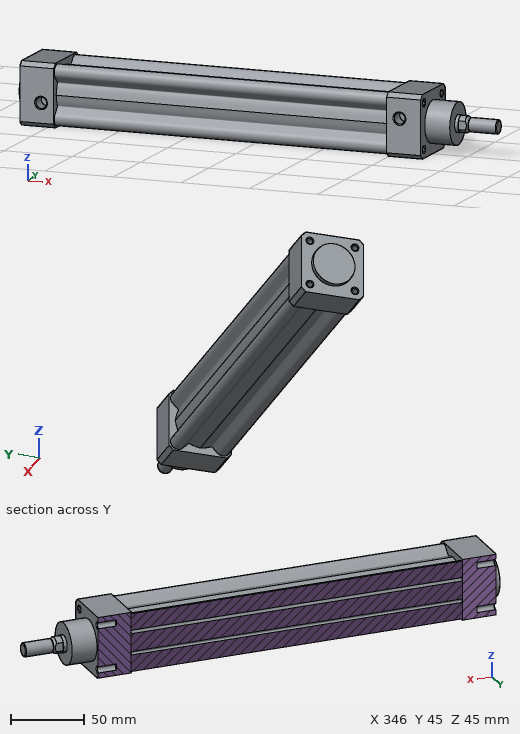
import cadquery as cq
import math

total_length = 346.0
cap_side = 45.0
cap_length = 25.0
cap_chamfer = 3.0

collar_diameter = 30.0
rear_collar_length = 3.5
front_collar_length = 18.5

lip_diameter = 12.5
lip_length = 2.5
lip_taper_length = 0.7
lip_tip_diameter = 12.0

bolt_offset = 16.3
bolt_hole_diameter = 4.0
bolt_hole_depth = 14.0
hole_chamfer = 0.7

port_diameter = 8.0
port_depth = 10.5
port_offset = 5.2
port_setback = 15.5

lobe_radius = 5.2
tube_radius = 17.5
ridge_half_width = 3.8
valley_fillet = 0.7

rod_diameter = 11.8
flat_distance = 10.0
flat_length = 6.5
thread_diameter = 10.0
thread_chamfer = 0.7
neck_diameter = 8.5
neck_length = 1.7
shoulder_to_end = 23.0

rear_face = rear_collar_length
barrel_start = rear_face + cap_length
front_face = 297.5
barrel_end = front_face - cap_length
front_collar_end = front_face + front_collar_length
lip_end = front_collar_end + lip_length
shoulder_start = total_length - shoulder_to_end
thread_start = shoulder_start + neck_length
flat_start = thread_start - flat_length


def x_cylinder(diameter, start, end):
    """Round bar on the cylinder axis from start to end."""
    return cq.Workplane("YZ", origin=(start, 0, 0)).circle(diameter / 2).extrude(end - start)


def chamfered_hole(diameter, depth, mouth, direction):
    """Cutting tool for a blind hole with a 45 degree chamfer at its mouth."""
    radius = diameter / 2
    bore = cq.Solid.makeCylinder(radius, depth, mouth, direction)
    countersink = cq.Solid.makeCone(radius + hole_chamfer, radius, hole_chamfer, mouth, direction)
    return cq.Workplane(bore.fuse(countersink))


def make_cap(start, outer_face, into_cap, port_height):
    """Chamfered square block with corner bolt holes and an air port; into_cap is +1 or -1 along X."""
    cap = (
        cq.Workplane("YZ", origin=(start, 0, 0))
        .rect(cap_side, cap_side)
        .extrude(cap_length)
        .edges("|X")
        .chamfer(cap_chamfer)
    )
    inward = cq.Vector(into_cap, 0, 0)
    for y in (-bolt_offset, bolt_offset):
        for z in (-bolt_offset, bolt_offset):
            mouth = cq.Vector(outer_face, y, z)
            cap = cap.cut(chamfered_hole(bolt_hole_diameter, bolt_hole_depth, mouth, inward))
    port_mouth = cq.Vector(outer_face + into_cap * port_setback, -cap_side / 2, port_height)
    return cap.cut(chamfered_hole(port_diameter, port_depth, port_mouth, cq.Vector(0, 1, 0)))


def make_rear_cap():
    """Rear cap with its short collar."""
    collar = x_cylinder(collar_diameter, 0, rear_face)
    return make_cap(rear_face, rear_face, 1, -port_offset).union(collar)


def make_front_cap():
    """Front cap with its long collar and the bore that carries the rod."""
    collar = x_cylinder(collar_diameter, front_face, front_collar_end)
    taper_start = lip_end - lip_taper_length
    lip_taper = cq.Solid.makeCone(
        lip_diameter / 2,
        lip_tip_diameter / 2,
        lip_taper_length,
        cq.Vector(taper_start, 0, 0),
        cq.Vector(1, 0, 0),
    )
    lip = x_cylinder(lip_diameter, front_collar_end, taper_start).union(cq.Workplane(lip_taper))
    rod_bore = x_cylinder(rod_diameter, barrel_end, lip_end)
    return make_cap(barrel_end, front_face, -1, port_offset).union(collar).union(lip).cut(rod_bore)


def make_barrel():
    """Extruded profile: four round corner lobes joined by a ridged tube wall."""
    diagonal = math.sqrt(0.5)
    lobe_far = bolt_offset + lobe_radius * diagonal
    lobe_near = bolt_offset - lobe_radius * diagonal

    flank_step = lobe_far - lobe_near
    valley_in = (math.sqrt(2 * tube_radius**2 - flank_step**2) - flank_step) / 2
    valley_out = valley_in + flank_step

    ridge_angle = math.asin(ridge_half_width / tube_radius)
    ridge_foot = tube_radius * math.cos(ridge_angle)
    ridge_top = tube_radius / math.cos(ridge_angle)
    wall_angle = (ridge_angle + math.atan2(valley_in, valley_out)) / 2
    wall_out = tube_radius * math.cos(wall_angle)
    wall_in = tube_radius * math.sin(wall_angle)

    def turned(out, along, quarter):
        """Turn a point of the +Y side about the axis by quarter turns."""
        for _ in range(quarter):
            out, along = -along, out
        return out, along

    profile = cq.Workplane("YZ", origin=(barrel_start, 0, 0)).moveTo(ridge_top, 0)
    for quarter in range(4):
        profile = (
            profile.lineTo(*turned(ridge_foot, ridge_half_width, quarter))
            .threePointArc(turned(wall_out, wall_in, quarter), turned(valley_out, valley_in, quarter))
            .lineTo(*turned(lobe_far, lobe_near, quarter))
            .threePointArc(turned(lobe_far, lobe_far, quarter), turned(lobe_near, lobe_far, quarter))
            .lineTo(*turned(valley_in, valley_out, quarter))
            .threePointArc(turned(wall_in, wall_out, quarter), turned(ridge_half_width, ridge_foot, quarter))
        )
        if quarter < 3:
            profile = profile.lineTo(*turned(0, ridge_top, quarter))
    barrel = profile.close().extrude(barrel_end - barrel_start)

    barrel_middle = (barrel_start + barrel_end) / 2
    valleys = []
    for quarter in range(4):
        for corner in ((valley_out, valley_in), (valley_in, valley_out)):
            point = (barrel_middle, *turned(*corner, quarter))
            valleys += barrel.edges("|X").edges(cq.NearestToPointSelector(point)).vals()
    return barrel.newObject(valleys).fillet(valley_fillet)


def make_rod():
    """Piston rod with two wrench flats facing Y, a necked shoulder and a threaded end."""
    rod_radius = rod_diameter / 2
    thread_radius = thread_diameter / 2
    rod = (
        cq.Workplane("XY")
        .moveTo(barrel_end, 0)
        .lineTo(barrel_end, rod_radius)
        .lineTo(shoulder_start, rod_radius)
        .lineTo(thread_start, neck_diameter / 2)
        .lineTo(thread_start + thread_chamfer, thread_radius)
        .lineTo(total_length - thread_chamfer, thread_radius)
        .lineTo(total_length, thread_radius - thread_chamfer)
        .lineTo(total_length, 0)
        .close()
        .revolve(360, (0, 0, 0), (1, 0, 0))
    )
    for side in (1, -1):
        waste = cq.Workplane("XY").box(flat_length, rod_radius, rod_diameter).translate(
            ((flat_start + thread_start) / 2, side * (flat_distance + rod_radius) / 2, 0)
        )
        rod = rod.cut(waste)
    return rod


rear_cap = make_rear_cap()
front_cap = make_front_cap()
barrel = make_barrel()
rod = make_rod()

bodies = [rear_cap, front_cap, barrel, rod]
result = cq.Compound.makeCompound([body.solids().val() for body in bodies])